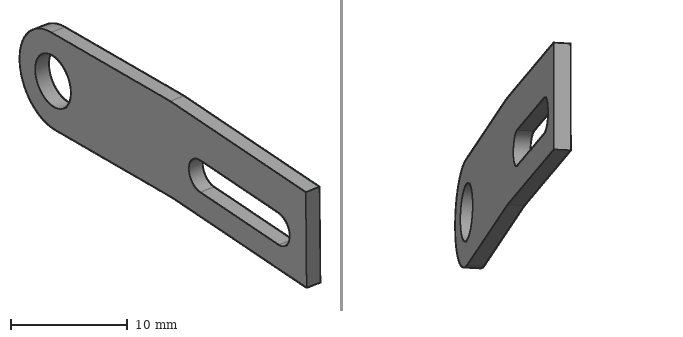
import cadquery as cq
import math

length = 40.5
height = 10.55
thickness = 1.5

strip_width = 9.47
end_radius = strip_width / 2
bend_x = 21.37
end_setback = 0.12

hole_diameter = 5.0
slot_left = 23.9
slot_right = 38.1
slot_height = 3.15
slot_center_z = 5.1

eye_x = end_radius
eye_z = end_radius
level_center_z = height - strip_width / 2
bend_angle = math.atan2(level_center_z - eye_z, bend_x - eye_x)

normal_x = -end_radius * math.sin(bend_angle)
normal_z = end_radius * math.cos(bend_angle)
miter_x = -end_radius * math.tan(bend_angle / 2)

round_end_tip = (
    eye_x - end_radius * math.cos(bend_angle),
    eye_z - end_radius * math.sin(bend_angle),
)


def make_plate():
    """Bent strip standing in the XZ plane, with its thickness along +Y."""
    return (
        cq.Workplane("XZ")
        .moveTo(eye_x - normal_x, eye_z - normal_z)
        .threePointArc(round_end_tip, (eye_x + normal_x, eye_z + normal_z))
        .lineTo(bend_x + miter_x, height)
        .lineTo(length - end_setback, height)
        .lineTo(length, height - strip_width)
        .lineTo(bend_x - miter_x, height - strip_width)
        .close()
        .extrude(-thickness)
    )


def make_hole():
    """Round through hole concentric with the round end."""
    return (
        cq.Workplane("XZ")
        .center(eye_x, eye_z)
        .circle(hole_diameter / 2)
        .extrude(-thickness)
    )


def make_slot():
    """Round-ended through slot in the level arm."""
    return (
        cq.Workplane("XZ")
        .center((slot_left + slot_right) / 2, slot_center_z)
        .slot2D(slot_right - slot_left, slot_height)
        .extrude(-thickness)
    )


result = make_plate().cut(make_hole()).cut(make_slot())